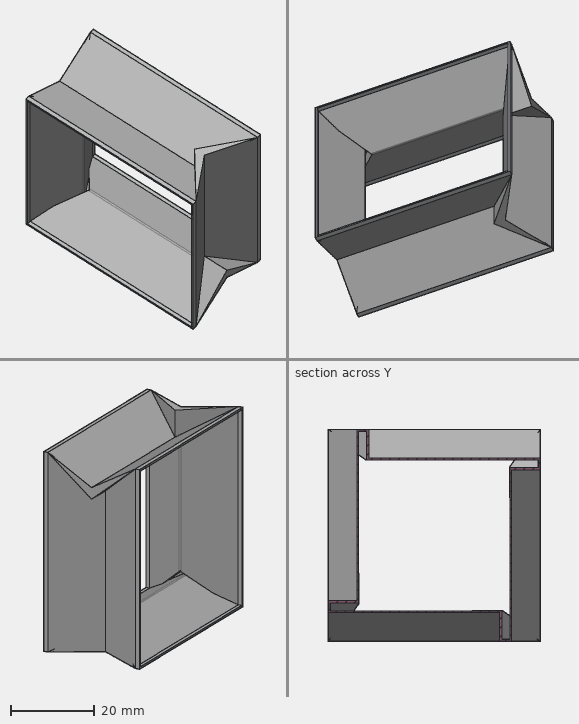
import cadquery as cq
import math

side = 51.1
depth = 26.4
wall = 0.5
rim_width = 1.1
groove_depth = 6.9
end_depth = 9.85

half_side = side / 2
half_groove = depth / 2 - rim_width


def v_prism(v_depth, offset):
    """V prism along X in the top side, its faces moved outward by offset."""
    angle = math.atan2(v_depth, half_groove)
    half_width = half_groove + offset / math.sin(angle)
    apex = half_side - v_depth - offset / math.cos(angle)
    return (
        cq.Workplane("YZ")
        .polyline([(-half_width, half_side), (half_width, half_side), (0, apex)])
        .close()
        .extrude(half_side, both=True)
    )


def top_groove(offset):
    """Groove open at -X, stopped at +X by the deeper V of the adjoining side."""
    stop = v_prism(end_depth, -offset).rotate((0, 0, 0), (0, 1, 0), 90)
    groove = v_prism(groove_depth, offset)
    if offset > 0:
        groove = groove.edges("<Z").fillet(offset)
    return groove.cut(stop)


def grooved_block(width, offset):
    """Square block with the four grooves cut in a pinwheel about Y."""
    block = cq.Workplane("XY").box(width, depth, width)
    groove = top_groove(offset)
    for quarter in range(4):
        block = block.cut(groove.rotate((0, 0, 0), (0, 1, 0), 90 * quarter))
    return block


outer = grooved_block(side, 0)
cavity = grooved_block(side - 2 * wall, wall)
result = outer.cut(cavity)